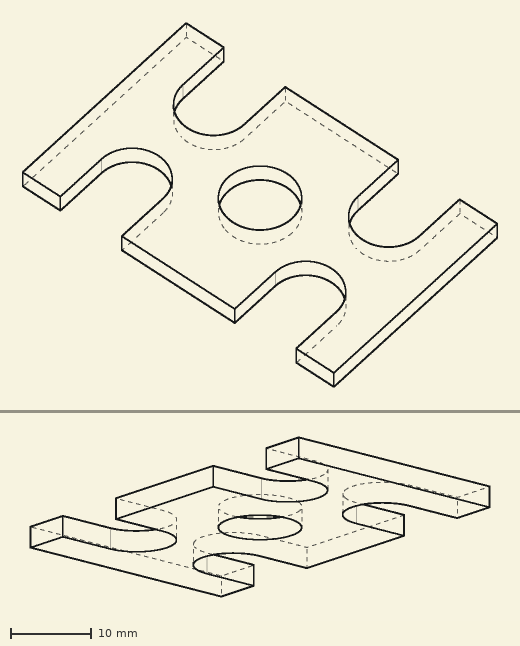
import cadquery as cq

length = 50.8
width = 31.75
thickness = 2.75

hole_diameter = 10.4

slot_width = 10.0
slot_offset = 14.2
left_web = 5.8
right_web = 6.1


def edge_slot(x, web, side):
    """Cutter for a slot that enters from the +Y (side=1) or -Y (side=-1) edge."""
    radius = slot_width / 2
    arc_y = side * (web / 2 + radius)
    edge_y = side * width / 2
    return (
        cq.Workplane("XY")
        .moveTo(x - radius, edge_y)
        .lineTo(x - radius, arc_y)
        .threePointArc((x, side * web / 2), (x + radius, arc_y))
        .lineTo(x + radius, edge_y)
        .close()
        .extrude(thickness)
    )


result = (
    cq.Workplane("XY")
    .rect(length, width)
    .circle(hole_diameter / 2)
    .extrude(thickness)
)

for x, web in ((-slot_offset, left_web), (slot_offset, right_web)):
    for side in (-1, 1):
        result = result.cut(edge_slot(x, web, side))